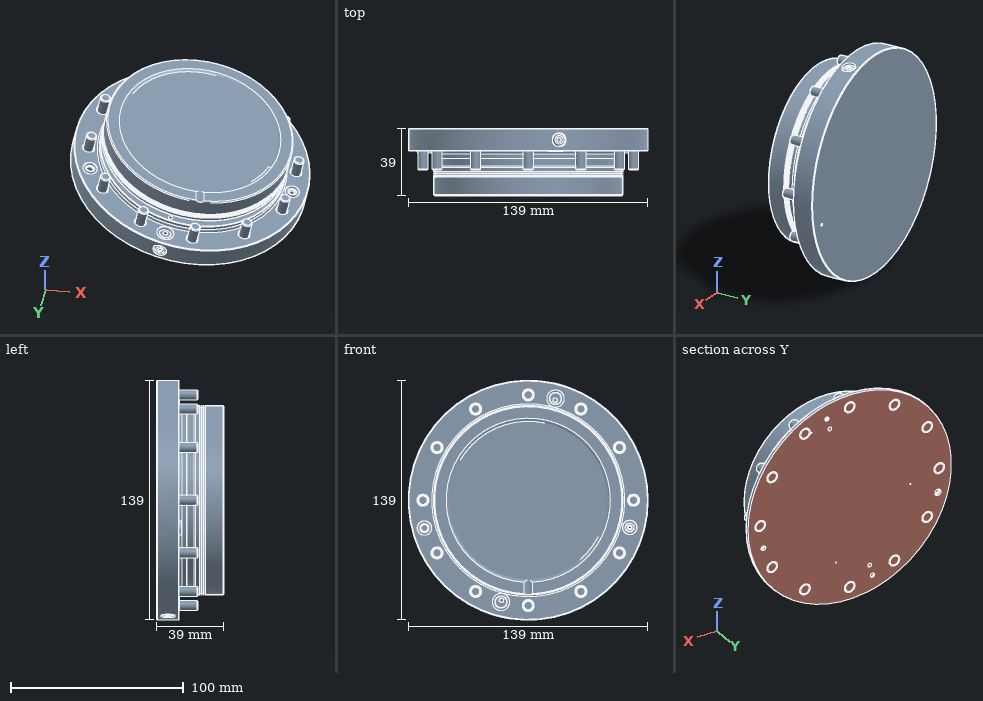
import cadquery as cq
import math


FLANGE_RADIUS = 69.5
FLANGE_THICKNESS = 13.0
FLANGE_CHAMFER = 0.4

TOTAL_LENGTH = 39.0
BODY_RADIUS = 54.9
NOSE_CHAMFER = 0.7
RELIEF_RADIUS = 50.0
RELIEF_START = 17.5
RELIEF_END = 21.7
RELIEF_BACK_CHAMFER = 0.3
RELIEF_FRONT_CHAMFER = 0.8

GROOVE_STARTS = (24.9, 26.1, 27.4)
GROOVE_WIDTH = 0.8
GROOVE_DEPTH = 0.8

POCKET_MOUTH_RADIUS = 47.5
POCKET_FLOOR_RADIUS = 45.7
POCKET_DEPTH = 0.7
CHANNEL_WIDTH = 4.7

BOLT_CIRCLE_RADIUS = 61.0
STUD_COUNT = 12
STUD_RADIUS = 2.99
STUD_CHAMFER = 0.5
STUD_END = 23.9
STUD_HOLE_RADIUS = 3.5
STUD_HOLE_DEPTH = 2.8

BODY_RING_SECTION_RADIUS = 1.5
BODY_RING_OUTER_RADIUS = 55.9
BODY_RING_FRONT = 14.9

PORT_ANGLES = (75, 255)
PORT_RADIUS = 4.0
PORT_DEPTH = 4.2
PLUG_RADIUS = 3.82
PLUG_TIP_RADIUS = 2.43
PLUG_RECESS = 0.3
PLUG_SOCKET_RADIUS = 1.3
PLUG_SOCKET_DEPTH = 0.7
PORT_BORE_RADIUS = 1.3
PORT_STATION = FLANGE_THICKNESS / 2
OUTLET_CIRCLE_RADIUS = 60.0
OUTLET_RADIUS = 1.3
FEED_CIRCLE_RADIUS = 52.4
FEED_RADIUS = 1.1
PORT_SEAT_RADIUS = 5.0
PORT_SEAT_DEPTH = 1.4
PORT_RING_OUTER_RADIUS = 5.1
PORT_RING_SECTION_RADIUS = 0.9
PORT_RING_PROTRUSION = 0.1

PILOT_RING_OUTER_RADIUS = 4.2
PILOT_RING_INNER_RADIUS = 2.5
PILOT_RING_PROTRUSION = 1.3
PILOT_RECESS_RADIUS = 2.43
PILOT_RECESS_DEPTH = 0.7
PILOT_BORE_DEPTH = 4.2
LEFT_PILOT_CIRCLE_RADIUS = 62.3
LEFT_PILOT_ANGLE = 195
LEFT_PILOT_BORE_RADIUS = 2.0
RIGHT_PILOT_CIRCLE_RADIUS = 60.9
RIGHT_PILOT_ANGLE = 345
RIGHT_PILOT_BORE_RADIUS = 1.4
RIGHT_PILOT_VENT_RADIUS = 0.76


def polar(radius, angle):
    """X and Z of a point at this radius and angle (degrees) about the Y axis."""
    turn = math.radians(angle)
    return radius * math.cos(turn), radius * math.sin(turn)


def arc_radius(half_width, depth):
    """Radius of the arc that sinks by `depth` at its middle, over twice the half width."""
    return (half_width**2 + depth**2) / (2 * depth)


def rod(position, radius, start, end):
    """Cylinder along Y at an (x, z) position, between two distances from the back face."""
    x, z = position
    return cq.Workplane("XZ", origin=(x, -start, z)).circle(radius).extrude(end - start)


def o_ring(position, outer_radius, section_radius, front):
    """Torus about a Y-directed axis whose foremost point is at the distance `front`."""
    x, z = position
    section_plane = cq.Plane(origin=(x, section_radius - front, z), xDir=(0, 1, 0), normal=(0, 0, 1))
    section = cq.Workplane(section_plane).center(0, section_radius - outer_radius).circle(section_radius)
    axis_point = outer_radius - section_radius
    return section.revolve(360, (0, axis_point, 0), (1, axis_point, 0))


def make_flange():
    flange = rod((0, 0), FLANGE_RADIUS, 0, FLANGE_THICKNESS)
    return flange.faces("<Y or >Y").edges().chamfer(FLANGE_CHAMFER)


def make_body():
    """Revolved body with the relief, the sealing grooves and the nose pocket."""
    profile = [
        (0, 0),
        (BODY_RADIUS, 0),
        (BODY_RADIUS, RELIEF_START - RELIEF_BACK_CHAMFER),
        (BODY_RADIUS - RELIEF_BACK_CHAMFER, RELIEF_START),
        (RELIEF_RADIUS, RELIEF_START),
        (RELIEF_RADIUS, RELIEF_END),
        (BODY_RADIUS - RELIEF_FRONT_CHAMFER, RELIEF_END),
        (BODY_RADIUS, RELIEF_END + RELIEF_FRONT_CHAMFER),
    ]
    for start in GROOVE_STARTS:
        profile += [
            (BODY_RADIUS, start),
            (BODY_RADIUS - GROOVE_DEPTH, start),
            (BODY_RADIUS - GROOVE_DEPTH, start + GROOVE_WIDTH),
            (BODY_RADIUS, start + GROOVE_WIDTH),
        ]
    profile += [
        (BODY_RADIUS, TOTAL_LENGTH - NOSE_CHAMFER),
        (BODY_RADIUS - NOSE_CHAMFER, TOTAL_LENGTH),
        (POCKET_MOUTH_RADIUS, TOTAL_LENGTH),
    ]
    points = [(radius, -station) for radius, station in profile]

    wall_width = POCKET_MOUTH_RADIUS - POCKET_FLOOR_RADIUS
    wall_radius = arc_radius(wall_width, POCKET_DEPTH)
    wall_middle_rise = wall_radius - math.sqrt(wall_radius**2 - (wall_width / 2) ** 2)
    pocket_floor = POCKET_DEPTH - TOTAL_LENGTH
    wall_middle = (POCKET_FLOOR_RADIUS + wall_width / 2, pocket_floor - wall_middle_rise)
    outline = cq.Workplane("XY").polyline(points)
    outline = outline.threePointArc(wall_middle, (POCKET_FLOOR_RADIUS, pocket_floor))
    outline = outline.lineTo(0, pocket_floor).close()
    body = outline.revolve(360, (0, 0, 0), (0, 1, 0))

    channel_radius = arc_radius(CHANNEL_WIDTH / 2, POCKET_DEPTH)
    channel_start = cq.Workplane("XY", origin=(0, pocket_floor - channel_radius, -POCKET_FLOOR_RADIUS))
    return body.cut(channel_start.circle(channel_radius).extrude(POCKET_FLOOR_RADIUS - BODY_RADIUS))


def add_studs(part):
    for index in range(STUD_COUNT):
        position = polar(BOLT_CIRCLE_RADIUS, index * 360 / STUD_COUNT)
        root = FLANGE_THICKNESS - STUD_HOLE_DEPTH
        stud = rod(position, STUD_RADIUS, root, STUD_END)
        stud = stud.faces("<Y").edges().chamfer(STUD_CHAMFER)
        part = part.cut(rod(position, STUD_HOLE_RADIUS, root, FLANGE_THICKNESS)).union(stud)
    return part


def radial_rod(angle, radius, inner_end, outer_end):
    """Cylinder at mid flange thickness, pointing away from the Y axis at this angle (degrees)."""
    turn = math.radians(angle)
    x, z = polar(inner_end, angle)
    plane = cq.Plane(
        origin=(x, -PORT_STATION, z),
        xDir=(0, 1, 0),
        normal=(math.cos(turn), 0, math.sin(turn)),
    )
    return cq.Workplane(plane).circle(radius).extrude(outer_end - inner_end)


def port_plug(angle):
    """Round plug with a conical head and a central socket."""
    top = FLANGE_RADIUS - PLUG_RECESS
    plug = radial_rod(angle, PLUG_RADIUS, FLANGE_RADIUS - PORT_DEPTH, top)
    head_direction = polar(1, angle)
    head = cq.selectors.DirectionMinMaxSelector(cq.Vector(head_direction[0], 0, head_direction[1]))
    plug = plug.faces(head).edges().chamfer(PLUG_RADIUS - PLUG_TIP_RADIUS)
    return plug.cut(radial_rod(angle, PLUG_SOCKET_RADIUS, top - PLUG_SOCKET_DEPTH, top))


def add_ports(part):
    for angle in PORT_ANGLES:
        port_floor = FLANGE_RADIUS - PORT_DEPTH
        part = part.cut(radial_rod(angle, PORT_RADIUS, port_floor, FLANGE_RADIUS))
        part = part.union(port_plug(angle))
        part = part.cut(radial_rod(angle, PORT_BORE_RADIUS, FEED_CIRCLE_RADIUS, port_floor))
        feed = polar(FEED_CIRCLE_RADIUS, angle)
        part = part.cut(rod(feed, FEED_RADIUS, PORT_STATION, RELIEF_START))

        seat = polar(BOLT_CIRCLE_RADIUS, angle)
        seat_floor = FLANGE_THICKNESS - PORT_SEAT_DEPTH
        ring_front = FLANGE_THICKNESS + PORT_RING_PROTRUSION
        part = part.cut(rod(seat, PORT_SEAT_RADIUS, seat_floor, FLANGE_THICKNESS))
        part = part.union(o_ring(seat, PORT_RING_OUTER_RADIUS, PORT_RING_SECTION_RADIUS, ring_front))
        outlet = polar(OUTLET_CIRCLE_RADIUS, angle)
        part = part.cut(rod(outlet, OUTLET_RADIUS, PORT_STATION, seat_floor))
    return part


def add_pilot(part, position, bore_radius):
    """Small blind hole with a shallow recess and an O-ring around it."""
    section_radius = (PILOT_RING_OUTER_RADIUS - PILOT_RING_INNER_RADIUS) / 2
    front = FLANGE_THICKNESS + PILOT_RING_PROTRUSION
    recess_floor = FLANGE_THICKNESS - PILOT_RECESS_DEPTH
    part = part.cut(rod(position, PILOT_RECESS_RADIUS, recess_floor, FLANGE_THICKNESS))
    part = part.cut(rod(position, bore_radius, FLANGE_THICKNESS - PILOT_BORE_DEPTH, FLANGE_THICKNESS))
    return part.union(o_ring(position, PILOT_RING_OUTER_RADIUS, section_radius, front))


part = make_flange().union(make_body())
part = part.union(o_ring((0, 0), BODY_RING_OUTER_RADIUS, BODY_RING_SECTION_RADIUS, BODY_RING_FRONT))
part = add_studs(part)
part = add_ports(part)

left_pilot = polar(LEFT_PILOT_CIRCLE_RADIUS, LEFT_PILOT_ANGLE)
part = add_pilot(part, left_pilot, LEFT_PILOT_BORE_RADIUS)

right_pilot = polar(RIGHT_PILOT_CIRCLE_RADIUS, RIGHT_PILOT_ANGLE)
part = add_pilot(part, right_pilot, RIGHT_PILOT_BORE_RADIUS)
part = part.cut(rod(right_pilot, RIGHT_PILOT_VENT_RADIUS, 0, FLANGE_THICKNESS))

result = part